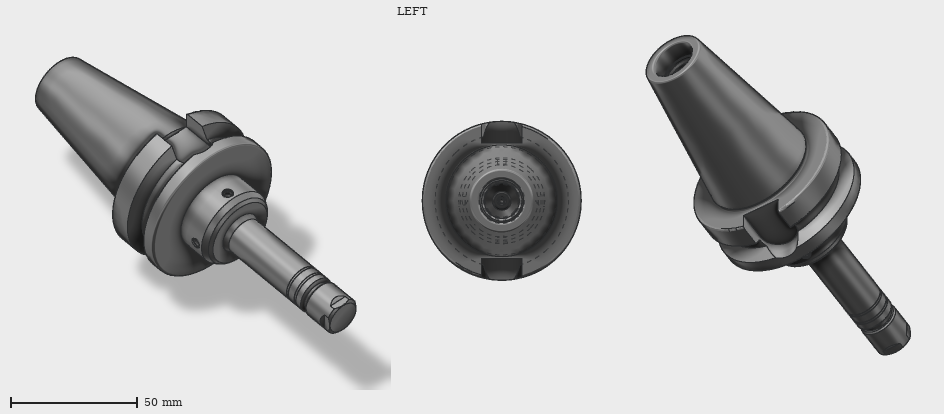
import cadquery as cq
import math


drill_half_angle = 59

total_length = 170.4
taper_length = 65.5
taper_big_radius = 22.2
taper_ratio = 7 / 24
end_fillet = 1.0
relief_depth = 0.7
relief_length = 1.0
relief_fillet = 1.0

flange_radius = 31.5
flange_start = taper_length + relief_length + relief_fillet
flange_end = 92.5
flange_fillet = 1.0
groove_radius = 26.4
groove_floor_start = 80.0
groove_floor_end = 83.8
groove_side_angle = 30
groove_side_length = (flange_radius - groove_radius) * math.tan(math.radians(groove_side_angle))

slot_width = 16.0
slot_floor = 22.8
slot_tip = 88.5

hub_radius = 17.0
hub_end = 108.7
hub_bevel_start = 105.0
hub_bevel_end = 107.5
hub_bevel_radius = 15.7
hub_face_radius = 14.3

screw_x = 101.4
screw_mouth_diameter = 4.5
screw_diameter = 3.4
screw_mouth_depth = 0.7
screw_depth = 2.5

shank_radius = 8.0
flare_radius = 9.0
flare_end = 111.1
ring_starts = (145.5, 150.1)
ring_width = 1.0
ring_depth = 0.2
nut_groove_start = 154.0
nut_groove_end = 157.3
nut_groove_radius = 6.5
nut_chamfer = 0.7
tip_chamfer_length = 0.9
tip_chamfer_depth = 1.2
flat_distance = 7.0
flat_start = 167.3
flat_runout = 1.5

bore_radius = 8.7
bore_depth = 7.7
thread_radius = 7.0
lead_radius = 8.0
lead_length = 1.0
lead_chamfer_length = 0.9
thread_depth = 30.0
cone_end_radius = 3.7
plug_face_radius = 2.9
plug_chamfer = 0.9
plug_mouth_radius = 1.9
plug_hole_radius = 1.4
plug_hole_depth = 1.7
pilot_radius = 0.9
pilot_depth = 1.7


def revolve_about_x(profile):
    return profile.revolve(360, (0, 0, 0), (1, 0, 0))


def drill_point_length(radius):
    """Length of a drilled cone that narrows by the given radius."""
    return radius / math.tan(math.radians(drill_half_angle))


def holder_body():
    taper_small_radius = taper_big_radius - taper_length * taper_ratio / 2
    relief_radius = taper_big_radius - relief_depth
    relief_end = taper_length + relief_length
    profile = (
        cq.Workplane("XY")
        .moveTo(0, 0)
        .lineTo(0, taper_small_radius)
        .lineTo(taper_length, taper_big_radius)
        .lineTo(relief_end, relief_radius)
        .radiusArc((flange_start, relief_radius + relief_fillet), -relief_fillet)
        .lineTo(flange_start, flange_radius - flange_fillet)
        .radiusArc((flange_start + flange_fillet, flange_radius), flange_fillet)
        .lineTo(groove_floor_start - groove_side_length, flange_radius)
        .lineTo(groove_floor_start, groove_radius)
        .lineTo(groove_floor_end, groove_radius)
        .lineTo(groove_floor_end + groove_side_length, flange_radius)
        .lineTo(flange_end - flange_fillet, flange_radius)
        .radiusArc((flange_end, flange_radius - flange_fillet), flange_fillet)
        .lineTo(flange_end, hub_radius)
        .lineTo(hub_bevel_start, hub_radius)
        .lineTo(hub_bevel_end, hub_bevel_radius)
        .lineTo(hub_end, hub_face_radius)
        .lineTo(hub_end, flare_radius)
        .lineTo(flare_end, shank_radius)
        .lineTo(nut_groove_start, shank_radius)
        .lineTo(nut_groove_start + nut_chamfer, nut_groove_radius)
        .lineTo(nut_groove_end - nut_chamfer, nut_groove_radius)
        .lineTo(nut_groove_end - nut_chamfer, shank_radius - nut_chamfer)
        .lineTo(nut_groove_end, shank_radius)
        .lineTo(total_length - tip_chamfer_length, shank_radius)
        .lineTo(total_length, shank_radius - tip_chamfer_depth)
        .lineTo(total_length, 0)
        .close()
    )
    return revolve_about_x(profile)


def shank_ring(start):
    """Cutter for one shallow groove around the shank."""
    floor_radius = shank_radius - ring_depth
    ring = cq.Workplane("YZ", origin=(start, 0, 0)).circle(shank_radius).circle(floor_radius)
    return ring.extrude(ring_width)


def drive_slot():
    """Round-ended slot cutter on the +Z side of the flange."""
    tip_radius = slot_width / 2
    tip_center = slot_tip - tip_radius
    return (
        cq.Workplane("XY", origin=(0, 0, slot_floor))
        .moveTo(taper_length, -tip_radius)
        .lineTo(tip_center, -tip_radius)
        .threePointArc((slot_tip, 0), (tip_center, tip_radius))
        .lineTo(taper_length, tip_radius)
        .close()
        .extrude(flange_radius)
    )


def hub_hole():
    """Stepped blind hole cutter with a conical bottom, on the +Z side of the hub."""
    mouth_radius = screw_mouth_diameter / 2
    hole_radius = screw_diameter / 2
    mouth_floor = hub_radius - screw_mouth_depth
    hole_floor = hub_radius - screw_depth
    hole_tip = hole_floor - drill_point_length(hole_radius)
    points = [
        (0, flange_radius),
        (mouth_radius, flange_radius),
        (mouth_radius, mouth_floor),
        (hole_radius, mouth_floor),
        (hole_radius, hole_floor),
        (0, hole_tip),
    ]
    cutter = cq.Workplane("XZ").polyline(points).close().revolve(360, (0, 0, 0), (0, 1, 0))
    return cutter.translate((screw_x, 0, 0))


def wrench_flat():
    """Cutter for one flat with a sloping run-out, on the +Z side of the tip."""
    points = [
        (flat_start, flat_distance),
        (total_length, flat_distance),
        (total_length, shank_radius),
        (flat_start - flat_runout, shank_radius),
    ]
    return cq.Workplane("XZ").polyline(points).close().extrude(shank_radius, both=True)


def taper_bore():
    """Cutter for the stepped bore, leaving a drilled plug at its bottom."""
    lead_end = bore_depth + lead_length
    cone_end = thread_depth + drill_point_length(thread_radius - cone_end_radius)
    plug_face = cone_end - plug_chamfer
    plug_mouth_end = plug_face + plug_mouth_radius - plug_hole_radius
    hole_end = plug_face + plug_hole_depth
    pilot_end = hole_end + pilot_depth
    pilot_tip = pilot_end + drill_point_length(pilot_radius)
    points = [
        (0, 0),
        (0, bore_radius),
        (bore_depth, bore_radius),
        (bore_depth, lead_radius),
        (lead_end, lead_radius),
        (lead_end + lead_chamfer_length, thread_radius),
        (thread_depth, thread_radius),
        (cone_end, cone_end_radius),
        (plug_face, plug_face_radius),
        (plug_face, plug_mouth_radius),
        (plug_mouth_end, plug_hole_radius),
        (hole_end, plug_hole_radius),
        (hole_end, pilot_radius),
        (pilot_end, pilot_radius),
        (pilot_tip, 0),
    ]
    return revolve_about_x(cq.Workplane("XY").polyline(points).close())


def around_axis(cutter, angle):
    """The cutter turned about the X axis."""
    return cutter.rotate((0, 0, 0), (1, 0, 0), angle)


result = holder_body().cut(taper_bore())
result = result.faces("<X").edges().fillet(end_fillet)

for start in ring_starts:
    result = result.cut(shank_ring(start))

for angle in (0, 180):
    result = result.cut(around_axis(drive_slot(), angle))

for angle in (0, 90, 180, 270):
    result = result.cut(around_axis(hub_hole(), angle))
    result = result.cut(around_axis(wrench_flat(), angle))